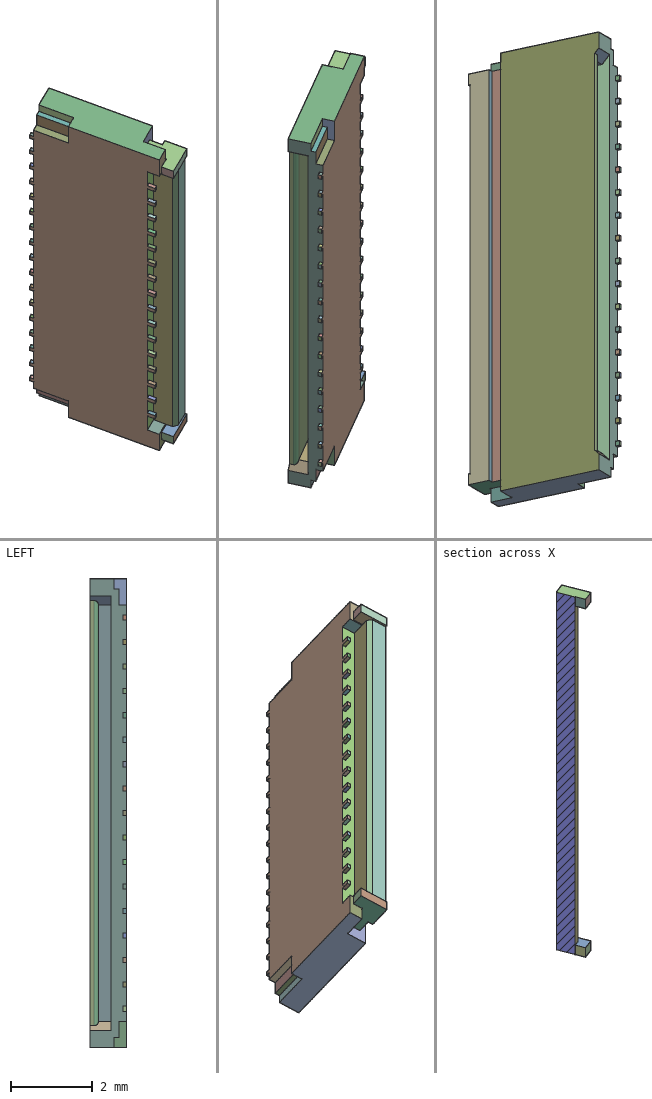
import cadquery as cq

LENGTH = 11.5
THICKNESS = 0.9
BODY_WIDTH = 3.4
BACK_WIDTH = 2.81
SHELF_THICKNESS = 0.36
END_WALL = 0.64

SLOT_FRONT = 0.38
SLOT_BACK = 0.69
SLOT_DEPTH = 1.38
LEAD_IN = 0.22
LIP_RADIUS = 0.1
LIP_SETBACK = LEAD_IN - LIP_RADIUS

POCKET_WIDTH = 0.94
POCKET_DEPTH = 0.18
POCKET_STEP_DEPTH = 0.31
POCKET_STEP_HEIGHT = 0.25

CONTACT_HEIGHT = 0.13
CONTACT_THICKNESS = 0.09
TAIL_COUNT = 17
TAIL_SPAN = 9.59
PITCH = TAIL_SPAN / (TAIL_COUNT - 1)
TAIL_LENGTH = 0.1
TOOTH_COUNT = TAIL_COUNT - 1
NOTCH_LEFT = 3.08
TOOTH_LENGTH = 0.21

ACTUATOR_INSET = 0.36
ACTUATOR_RIGHT = 3.75
ACTUATOR_BACK = 0.86
ACTUATOR_STEP_Y = 0.72
ACTUATOR_STEP_X = 3.15
EAR_FRONT = 0.08
EAR_GAP = 0.02
BAR_RIGHT = 3.7
BAR_CHAMFER = 0.1

OPENING = LENGTH - 2 * END_WALL


def box(x_range, y_range, z_range):
    """Axis-aligned box between the given limits."""
    size = [high - low for low, high in (x_range, y_range, z_range)]
    corner = (x_range[0], y_range[0], z_range[0])
    return cq.Workplane("XY").box(*size, centered=False).translate(corner)


def extrude_z(points, height):
    """Closed XY outline extruded along Z, centred on Z = 0."""
    return cq.Workplane("XY").polyline(points).close().extrude(height / 2, both=True)


def mirrored(solid):
    """The solid together with its mirror image in the Z = 0 plane."""
    return solid.union(solid.mirror("XY"))


def housing():
    outline = [
        (0, 0), (BODY_WIDTH, 0), (BODY_WIDTH, SHELF_THICKNESS),
        (BACK_WIDTH, SHELF_THICKNESS), (BACK_WIDTH, THICKNESS), (0, THICKNESS),
    ]
    return extrude_z(outline, LENGTH)


def cable_slot():
    """Slot with tapered ends whose rear lip is set back and rounded."""
    profile = (
        cq.Workplane("XY")
        .moveTo(0, SLOT_FRONT)
        .lineTo(SLOT_DEPTH, SLOT_FRONT)
        .lineTo(SLOT_DEPTH, SLOT_BACK)
        .lineTo(LEAD_IN, SLOT_BACK)
        .radiusArc((LIP_SETBACK, SLOT_BACK + LIP_RADIUS), LIP_RADIUS)
        .lineTo(LIP_SETBACK, THICKNESS)
        .lineTo(0, THICKNESS)
        .close()
        .extrude(LENGTH / 2, both=True)
    )
    half_opening = OPENING / 2
    half_mouth = half_opening + LEAD_IN
    funnel = (
        cq.Workplane("XZ")
        .polyline([
            (0, -half_mouth), (LEAD_IN, -half_opening), (SLOT_DEPTH, -half_opening),
            (SLOT_DEPTH, half_opening), (LEAD_IN, half_opening), (0, half_mouth),
        ])
        .close()
        .extrude(-THICKNESS)
    )
    return profile.intersect(funnel)


def corner_pockets():
    top = LENGTH / 2
    x_range = (0, POCKET_WIDTH)
    shallow = box(x_range, (0, POCKET_DEPTH), (OPENING / 2, top))
    deep = box(x_range, (0, POCKET_STEP_DEPTH), (top - POCKET_STEP_HEIGHT, top))
    return mirrored(shallow.union(deep))


def contact_notch():
    return box((NOTCH_LEFT, BODY_WIDTH), (0, SHELF_THICKNESS), (-OPENING / 2, OPENING / 2))


def contact_row(count, x_range):
    """Evenly spaced contact ends, flush with the front face."""
    row = cq.Workplane("XY")
    for index in range(count):
        bottom = (index - (count - 1) / 2) * PITCH - CONTACT_HEIGHT / 2
        row = row.union(box(x_range, (0, CONTACT_THICKNESS), (bottom, bottom + CONTACT_HEIGHT)))
    return row


def actuator():
    """Stepped bar behind the shelf with an ear wrapping forward at each end."""
    bar = extrude_z([
        (BACK_WIDTH, SHELF_THICKNESS),
        (BAR_RIGHT - BAR_CHAMFER, SHELF_THICKNESS),
        (BAR_RIGHT, SHELF_THICKNESS + BAR_CHAMFER),
        (BAR_RIGHT, ACTUATOR_BACK),
        (ACTUATOR_STEP_X, ACTUATOR_BACK),
        (ACTUATOR_STEP_X, ACTUATOR_STEP_Y),
        (BACK_WIDTH, ACTUATOR_STEP_Y),
    ], LENGTH - 2 * ACTUATOR_INSET)
    ear = box(
        (BODY_WIDTH + EAR_GAP, ACTUATOR_RIGHT),
        (EAR_FRONT, ACTUATOR_BACK),
        (OPENING / 2, LENGTH / 2 - ACTUATOR_INSET),
    )
    return bar.union(mirrored(ear))


tails = contact_row(TAIL_COUNT, (-TAIL_LENGTH, 0))
teeth = contact_row(TOOTH_COUNT, (NOTCH_LEFT, NOTCH_LEFT + TOOTH_LENGTH))

result = (
    housing()
    .cut(cable_slot())
    .cut(corner_pockets())
    .cut(contact_notch())
    .union(tails)
    .union(teeth)
    .union(actuator())
)